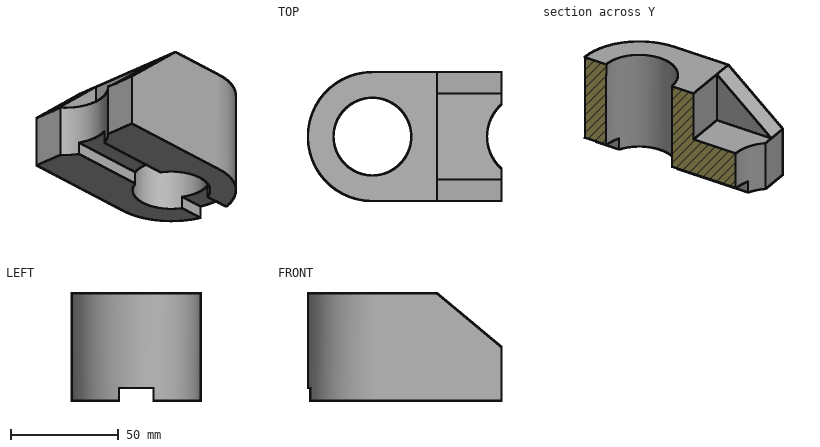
import cadquery as cq
import math

width = 60.0
height = 50.0
length = 90.0
end_radius = width / 2
flat_end_x = length - end_radius

bore_diameter = 36.0

slope_start_x = flat_end_x / 2
slope_end_z = height / 2
rib_width = 10.0
channel_width = width - 2 * rib_width
channel_floor_z = slope_end_z

relief_radius = 20.0
relief_opening = 30.0

slot_width = 16.0
slot_depth = 6.0


def make_body():
    return (
        cq.Workplane("XY")
        .moveTo(0, end_radius)
        .threePointArc((-end_radius, 0), (0, -end_radius))
        .lineTo(flat_end_x, -end_radius)
        .lineTo(flat_end_x, end_radius)
        .close()
        .extrude(height)
    )


def make_bore():
    return cq.Workplane("XY").circle(bore_diameter / 2).extrude(height)


def make_slope_cut():
    return (
        cq.Workplane("XZ")
        .moveTo(slope_start_x, height)
        .lineTo(flat_end_x, height)
        .lineTo(flat_end_x, slope_end_z)
        .close()
        .extrude(width / 2, both=True)
    )


def make_channel():
    return cq.Workplane("XY").box(
        flat_end_x - slope_start_x, channel_width, height - channel_floor_z, centered=(False, True, False)
    ).translate((slope_start_x, 0, channel_floor_z))


def make_end_relief():
    axis_offset = math.sqrt(relief_radius**2 - (relief_opening / 2) ** 2)
    return cq.Workplane("XY").center(flat_end_x + axis_offset, 0).circle(relief_radius).extrude(height)


def make_key_slot():
    return cq.Workplane("XY").box(
        length, slot_width, slot_depth, centered=(False, True, False)
    ).translate((-end_radius, 0, 0))


result = (
    make_body()
    .cut(make_bore())
    .cut(make_slope_cut())
    .cut(make_channel())
    .cut(make_end_relief())
    .cut(make_key_slot())
)